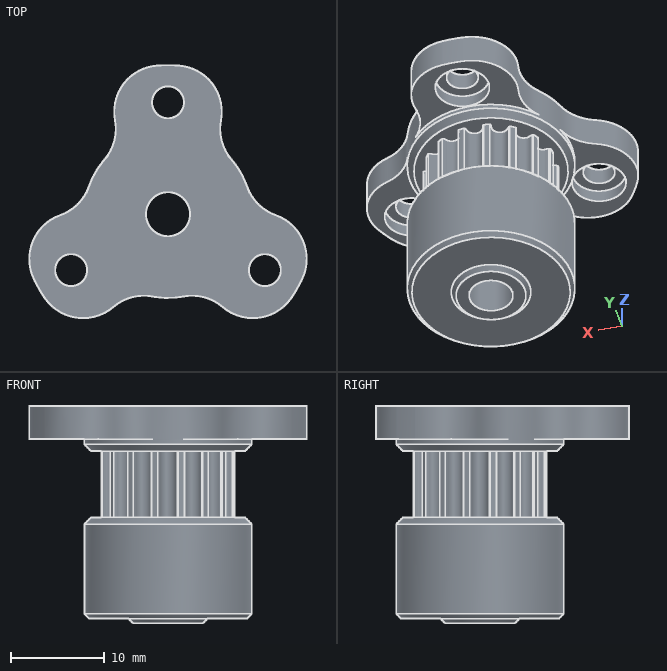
import cadquery as cq
import math

total_height = 23.32
boss_height = 0.52
tooth_length = 7.1
collar_height = 1.3
plate_thickness = 3.55
hub_height = total_height - boss_height - tooth_length - collar_height - plate_thickness

hub_radius = 9.0
boss_radius = 4.27
rim_chamfer = 0.73
base_chamfer = 0.51
bore_diameter = 4.7

tooth_count = 16
tooth_tip_radius = 7.26
groove_bottom_radius = 6.08
groove_arc_end = (0.89, 6.83)
groove_flank_end = (0.98, 7.06)
groove_half_width = 1.085
groove_clearance = 0.5

lobe_count = 3
first_lobe_angle = 90
screw_circle_radius = 12.0
screw_hole_diameter = 3.4
screw_recess_diameter = 5.8
screw_recess_depth = 1.5
plate_tip_radius = 16.0
corner_radius = 5.0
neck_radius = 5.0
tip_half_angle = 4.1

hub_base = boss_height
tooth_base = hub_base + hub_height
collar_base = tooth_base + tooth_length
plate_base = collar_base + collar_height


def polar(radius, angle):
    """Point at a radius and an angle in degrees, counter-clockwise from +X."""
    return (radius * math.cos(math.radians(angle)), radius * math.sin(math.radians(angle)))


def between(start, end, distance):
    """Point at a distance from start on the line towards end."""
    ratio = distance / math.dist(start, end)
    return (start[0] + ratio * (end[0] - start[0]), start[1] + ratio * (end[1] - start[1]))


def disc(radius, height, base):
    return cq.Workplane("XY").workplane(offset=base).circle(radius).extrude(height)


def make_boss():
    """Short cone that narrows downward at 45 degrees."""
    boss = cq.Solid.makeCone(boss_radius - boss_height, boss_radius, boss_height)
    return cq.Workplane("XY").add(boss)


def make_hub():
    hub = disc(hub_radius, hub_height, hub_base)
    return hub.faces(">Z").chamfer(rim_chamfer).faces("<Z").chamfer(base_chamfer)


def make_collar():
    return disc(hub_radius, collar_height, collar_base).faces("<Z").chamfer(rim_chamfer)


def make_groove():
    """Cutter for one belt groove, pointing along +Y."""
    arc_x, arc_y = groove_arc_end
    flank_x, flank_y = groove_flank_end
    land_y = math.sqrt(tooth_tip_radius**2 - groove_half_width**2)
    outer_y = tooth_tip_radius + groove_clearance
    return (
        cq.Workplane("XY")
        .workplane(offset=tooth_base)
        .moveTo(-arc_x, arc_y)
        .threePointArc((0, groove_bottom_radius), (arc_x, arc_y))
        .lineTo(flank_x, flank_y)
        .tangentArcPoint((groove_half_width, land_y), relative=False)
        .lineTo(groove_half_width, outer_y)
        .lineTo(-groove_half_width, outer_y)
        .lineTo(-groove_half_width, land_y)
        .lineTo(-flank_x, flank_y)
        .close()
        .extrude(tooth_length)
    )


def make_toothed_section():
    section = disc(tooth_tip_radius, tooth_length, tooth_base)
    groove = make_groove()
    for index in range(tooth_count):
        section = section.cut(groove.rotate((0, 0, 0), (0, 0, 1), index * 360 / tooth_count))
    return section


def make_plate():
    """Three rounded lobes around a disc, blended by concave necks; all arcs are tangent."""
    corner_distance = plate_tip_radius - corner_radius
    neck_distance = hub_radius + neck_radius
    contact_distance = corner_radius + neck_radius
    cosine = (corner_distance**2 + neck_distance**2 - contact_distance**2) / (
        2 * corner_distance * neck_distance
    )
    neck_angle = tip_half_angle + math.degrees(math.acos(cosine))

    lobe_pitch = 360 / lobe_count
    lobe_angles = [first_lobe_angle + index * lobe_pitch for index in range(lobe_count)]

    outline = cq.Workplane("XY").workplane(offset=plate_base)
    outline = outline.moveTo(*polar(plate_tip_radius, lobe_angles[0] - tip_half_angle))
    for lobe in lobe_angles:
        next_lobe = lobe + lobe_pitch
        corner = polar(corner_distance, lobe + tip_half_angle)
        neck = polar(neck_distance, lobe + neck_angle)
        next_neck = polar(neck_distance, next_lobe - neck_angle)
        next_corner = polar(corner_distance, next_lobe - tip_half_angle)
        outline = (
            outline.threePointArc(
                polar(plate_tip_radius, lobe), polar(plate_tip_radius, lobe + tip_half_angle)
            )
            .tangentArcPoint(between(corner, neck, corner_radius), relative=False)
            .tangentArcPoint(polar(hub_radius, lobe + neck_angle), relative=False)
            .threePointArc(
                polar(hub_radius, lobe + lobe_pitch / 2), polar(hub_radius, next_lobe - neck_angle)
            )
            .tangentArcPoint(between(next_neck, next_corner, neck_radius), relative=False)
            .tangentArcPoint(polar(plate_tip_radius, next_lobe - tip_half_angle), relative=False)
        )
    plate = outline.close().extrude(plate_thickness)

    screw_points = [polar(screw_circle_radius, angle) for angle in lobe_angles]
    return (
        plate.faces("<Z")
        .workplane(origin=(0, 0, plate_base), invert=True)
        .pushPoints(screw_points)
        .circle(screw_hole_diameter / 2)
        .cutThruAll()
        .cut(make_screw_recesses(screw_points))
    )


def make_screw_recesses(screw_points):
    """Cutters for the wider screw recesses in the underside of the plate."""
    return (
        cq.Workplane("XY")
        .workplane(offset=plate_base)
        .pushPoints(screw_points)
        .circle(screw_recess_diameter / 2)
        .extrude(screw_recess_depth)
    )


def make_bore():
    return disc(bore_diameter / 2, total_height, 0)


result = (
    make_boss()
    .union(make_hub())
    .union(make_toothed_section())
    .union(make_collar())
    .union(make_plate())
    .cut(make_bore())
)